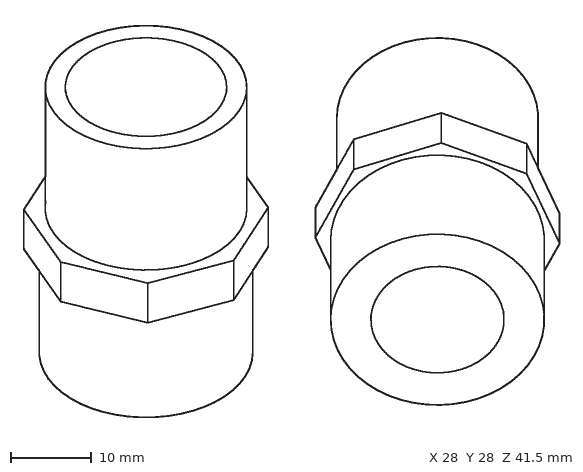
import cadquery as cq
import math

total_height = 41.5
lower_height = 16.3
collar_height = 6.2
lower_diameter = 26.5
upper_diameter = 25.0
collar_across_flats = 28.0
bore_diameter = 16.5
socket_diameter = 20.0

collar_sides = 8
corner_angle = math.pi / collar_sides
collar_across_corners = collar_across_flats / math.cos(corner_angle)
collar_top = lower_height + collar_height
upper_height = total_height - collar_top
socket_depth = upper_height


def cylinder(diameter, height, base_z):
    """Vertical cylinder on the Z axis, standing on base_z."""
    return cq.Workplane("XY").workplane(offset=base_z).circle(diameter / 2).extrude(height)


def octagonal_collar():
    """Octagonal wrench collar with flats facing the X and Y axes."""
    return (
        cq.Workplane("XY")
        .workplane(offset=lower_height)
        .transformed(rotate=(0, 0, math.degrees(corner_angle)))
        .polygon(collar_sides, collar_across_corners)
        .extrude(collar_height)
    )


body = cylinder(lower_diameter, lower_height, 0)
body = body.union(octagonal_collar())
body = body.union(cylinder(upper_diameter, upper_height, collar_top))

body = body.cut(cylinder(bore_diameter, total_height, 0))
body = body.cut(cylinder(socket_diameter, socket_depth, total_height - socket_depth))

result = body